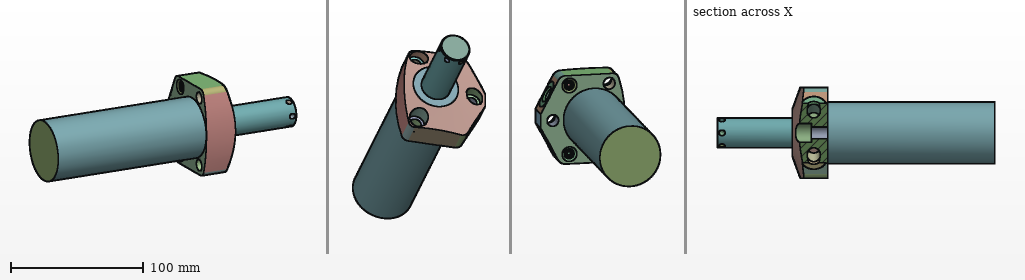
import cadquery as cq
import math

overall_length = 210.4
barrel_radius = 23.5
barrel_length = 126.5
rod_radius = 11.4
rod_tip_chamfer = 0.6

flange_height = 27.1
flange_width = 68.8
flange_half_width = flange_width / 2
flange_left = -41.2
flange_right = 24.2
left_flat_half = 5.5
slant_angle = 62.0
right_arc_radius = 101.0
left_corner_radius = 6.3
right_corner_radius = 5.3

cone_top_radius = 17.7
cone_angle = 20.0

through_radius = 4.5
counterbore_radius = 7.0
counterbore_floor = 12.6
hole_row_z = 26.7
right_hole_x = 12.0
left_hole_x = -31.8
socket_x = -19.0
socket_mouth_radius = 5.7
socket_mouth_depth = 1.0
socket_steps = [(3.8, 1.5), (3.2, 1.9), (2.5, 2.3), (1.5, 2.7)]

port_height = 10.7
spotface_radius = 10.5
spotface_depth = 0.2
port_mouth_radius = 6.3
port_radius = 4.8
port_depth = 15.5

dimple_count = 6
dimple_radius = 2.3
dimple_from_tip = 3.8

axis_y = cq.Vector(0, 1, 0)
slant = math.radians(slant_angle)


def cylinder(radius, start, direction, length):
    return cq.Solid.makeCylinder(radius, length, start, direction)


def cone(mouth_radius, end_radius, start, direction, length):
    return cq.Solid.makeCone(mouth_radius, end_radius, length, start, direction)


def make_flange():
    slant_run = (flange_half_width - left_flat_half) / math.tan(slant)
    slant_end_x = flange_left + slant_run
    arc_sagitta = right_arc_radius - math.sqrt(right_arc_radius**2 - flange_half_width**2)
    arc_end_x = flange_right - arc_sagitta
    plate = (
        cq.Workplane("XZ")
        .moveTo(flange_left, -left_flat_half)
        .lineTo(slant_end_x, -flange_half_width)
        .lineTo(arc_end_x, -flange_half_width)
        .threePointArc((flange_right, 0), (arc_end_x, flange_half_width))
        .lineTo(slant_end_x, flange_half_width)
        .lineTo(flange_left, left_flat_half)
        .close()
        .extrude(-flange_height)
    )
    middle_x = (slant_end_x + flange_left) / 2
    left_corners = plate.edges("|Y").filter(lambda edge: middle_x < edge.Center().x < 0)
    plate = left_corners.fillet(left_corner_radius)
    plate = plate.edges("|Y").edges(">X").fillet(right_corner_radius)
    cone_base_radius = cone_top_radius + flange_height / math.tan(math.radians(cone_angle))
    envelope = cone(cone_base_radius, cone_top_radius, cq.Vector(0, 0, 0), axis_y, flange_height)
    return plate.intersect(cq.Workplane(envelope))


def make_rod():
    rod_length = overall_length - barrel_length
    rod = cq.Workplane("XZ").circle(rod_radius).extrude(-rod_length)
    rod = rod.faces(">Y").chamfer(rod_tip_chamfer)
    dimple_y = rod_length - dimple_from_tip
    for index in range(dimple_count):
        angle = 2 * math.pi * index / dimple_count
        outward = cq.Vector(math.cos(angle), 0, math.sin(angle))
        start = outward * rod_radius + axis_y * dimple_y
        rod = rod.cut(cq.Workplane(cone(dimple_radius, 0, start, outward * -1, dimple_radius)))
    return rod


def cut_through_holes(body):
    centers = [(left_hole_x, 0), (right_hole_x, hole_row_z), (right_hole_x, -hole_row_z)]
    counterbore_depth = flange_height - counterbore_floor
    for x, z in centers:
        hole = cylinder(through_radius, cq.Vector(x, 0, z), axis_y, flange_height)
        floor_center = cq.Vector(x, counterbore_floor, z)
        counterbore = cylinder(counterbore_radius, floor_center, axis_y, counterbore_depth)
        body = body.cut(cq.Workplane(hole)).cut(cq.Workplane(counterbore))
    return body


def cut_socket(body, z):
    start = cq.Vector(socket_x, 0, z)
    bore_radius = socket_steps[0][0]
    mouth = cone(socket_mouth_radius, bore_radius, start, axis_y, socket_mouth_depth)
    body = body.cut(cq.Workplane(mouth))
    for radius, depth in socket_steps:
        body = body.cut(cq.Workplane(cylinder(radius, start, axis_y, depth)))
    return body


def cut_port(body, side):
    outward = cq.Vector(-math.sin(slant), 0, side * math.cos(slant))
    face_distance = -flange_left * math.sin(slant) + left_flat_half * math.cos(slant)
    inward = outward * -1
    face_point = outward * face_distance + axis_y * port_height
    seat_point = face_point + inward * spotface_depth
    mouth_depth = port_mouth_radius - port_radius
    body = body.cut(cq.Workplane(cylinder(spotface_radius, face_point, inward, spotface_depth)))
    body = body.cut(cq.Workplane(cone(port_mouth_radius, port_radius, seat_point, inward, mouth_depth)))
    return body.cut(cq.Workplane(cylinder(port_radius, face_point, inward, port_depth)))


flange = cut_through_holes(make_flange())
for side in (-1, 1):
    flange = cut_socket(flange, side * hole_row_z)
    flange = cut_port(flange, side)

barrel = cq.Workplane("XZ").circle(barrel_radius).extrude(barrel_length)
result = flange.union(barrel).union(make_rod())